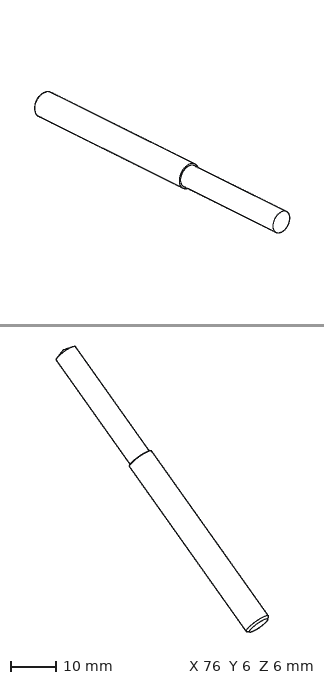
import cadquery as cq
import math

total_length = 76.0
shank_diameter = 6.0
shank_length = 46.0
shank_chamfer = 0.5
tip_diameter = 5.2
point_angle = 140.0

shank_radius = shank_diameter / 2
tip_radius = tip_diameter / 2
point_length = tip_radius / math.tan(math.radians(point_angle / 2))


def make_profile():
    """Half section of the stepped pin, drawn from its axis outward."""
    return (
        cq.Workplane("XY")
        .moveTo(0, 0)
        .lineTo(0, shank_radius - shank_chamfer)
        .lineTo(shank_chamfer, shank_radius)
        .lineTo(shank_length, shank_radius)
        .lineTo(shank_length, tip_radius)
        .lineTo(total_length - point_length, tip_radius)
        .lineTo(total_length, 0)
        .close()
    )


result = make_profile().revolve(360, (0, 0, 0), (1, 0, 0))